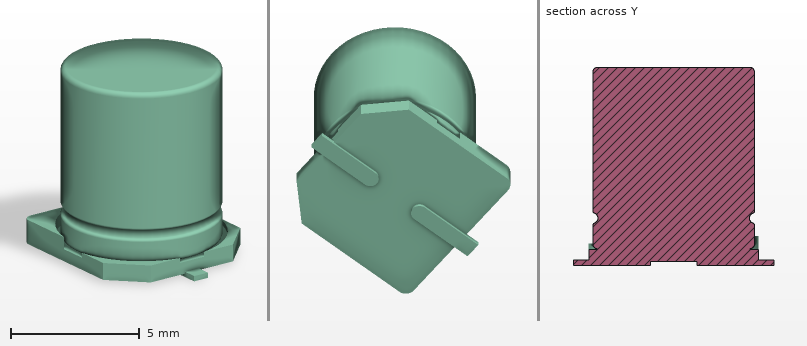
import cadquery as cq
import math

TOTAL_HEIGHT = 7.7
CAN_RADIUS = 6.3 / 2
CAN_EDGE_RADIUS = 0.2

GROOVE_RADIUS = 0.2
GROOVE_LIP_RADIUS = 0.1
GROOVE_ABOVE_CAN_BOTTOM = 1.2

BASE_SIZE = 6.6
BASE_HEIGHT = 1.0
BASE_BOTTOM = 0.14
BASE_CHAMFER = 1.32
BASE_CORNER_RADIUS = 0.4
BASE_STEP_DEPTH = 0.3
POCKET_RADIUS = 3.35
POCKET_DEPTH = 0.5

LEAD_SPAN = 7.8
LEAD_WIDTH = 0.66
LEAD_THICKNESS = 0.22
LEAD_INNER_END = 0.9

BASE_TOP = BASE_BOTTOM + BASE_HEIGHT
CAN_BOTTOM = BASE_TOP - POCKET_DEPTH
GROOVE_Z = CAN_BOTTOM + GROOVE_ABOVE_CAN_BOTTOM


def make_base():
    """Square base: +X corners chamfered, -X corners rounded, lower on its +X half."""
    base = (
        cq.Workplane("XY")
        .workplane(offset=BASE_BOTTOM)
        .rect(BASE_SIZE, BASE_SIZE)
        .extrude(BASE_HEIGHT)
    )
    base = base.edges("|Z and >X").chamfer(BASE_CHAMFER)
    base = base.edges("|Z and <X").fillet(BASE_CORNER_RADIUS)

    step = (
        cq.Workplane("XY")
        .workplane(offset=BASE_TOP - BASE_STEP_DEPTH)
        .center(BASE_SIZE / 4, 0)
        .rect(BASE_SIZE / 2, BASE_SIZE)
        .extrude(BASE_STEP_DEPTH)
    )
    pocket = (
        cq.Workplane("XY")
        .workplane(offset=CAN_BOTTOM)
        .circle(POCKET_RADIUS)
        .extrude(POCKET_DEPTH)
    )
    return base.cut(step).cut(pocket)


def make_can():
    """Cylindrical can with rounded rims and a rolled groove near its bottom."""
    edge_mid = CAN_EDGE_RADIUS * (1 - math.sqrt(0.5))
    rim_radius = CAN_RADIUS - CAN_EDGE_RADIUS

    lip_center_r = CAN_RADIUS - GROOVE_LIP_RADIUS
    center_distance = GROOVE_RADIUS + GROOVE_LIP_RADIUS
    lip_rise = math.sqrt(center_distance**2 - GROOVE_LIP_RADIUS**2)
    lip_angle = math.acos(GROOVE_LIP_RADIUS / center_distance)
    tangent_r = CAN_RADIUS - GROOVE_RADIUS * math.cos(lip_angle)
    tangent_rise = GROOVE_RADIUS * math.sin(lip_angle)
    half_sweep = lip_angle / 2
    lip_mid_r = lip_center_r + GROOVE_LIP_RADIUS * math.cos(half_sweep)
    lip_mid_rise = lip_rise - GROOVE_LIP_RADIUS * math.sin(half_sweep)

    profile = (
        cq.Workplane("XZ")
        .moveTo(0, CAN_BOTTOM)
        .lineTo(rim_radius, CAN_BOTTOM)
        .threePointArc(
            (CAN_RADIUS - edge_mid, CAN_BOTTOM + edge_mid),
            (CAN_RADIUS, CAN_BOTTOM + CAN_EDGE_RADIUS),
        )
        .lineTo(CAN_RADIUS, GROOVE_Z - lip_rise)
        .threePointArc((lip_mid_r, GROOVE_Z - lip_mid_rise), (tangent_r, GROOVE_Z - tangent_rise))
        .threePointArc((CAN_RADIUS - GROOVE_RADIUS, GROOVE_Z), (tangent_r, GROOVE_Z + tangent_rise))
        .threePointArc((lip_mid_r, GROOVE_Z + lip_mid_rise), (CAN_RADIUS, GROOVE_Z + lip_rise))
        .lineTo(CAN_RADIUS, TOTAL_HEIGHT - CAN_EDGE_RADIUS)
        .threePointArc(
            (CAN_RADIUS - edge_mid, TOTAL_HEIGHT - edge_mid),
            (rim_radius, TOTAL_HEIGHT),
        )
        .lineTo(0, TOTAL_HEIGHT)
        .close()
    )
    return profile.revolve(360, (0, 0, 0), (0, 1, 0))


def make_lead(side):
    """Flat lead with a round inner end; side is +1 for +X and -1 for -X."""
    half_width = LEAD_WIDTH / 2
    outer_x = side * LEAD_SPAN / 2
    round_x = side * (LEAD_INNER_END + half_width)
    return (
        cq.Workplane("XY")
        .moveTo(outer_x, -half_width)
        .lineTo(round_x, -half_width)
        .threePointArc((side * LEAD_INNER_END, 0), (round_x, half_width))
        .lineTo(outer_x, half_width)
        .close()
        .extrude(LEAD_THICKNESS)
    )


result = make_base().union(make_can())
for lead_side in (-1, 1):
    result = result.union(make_lead(lead_side))